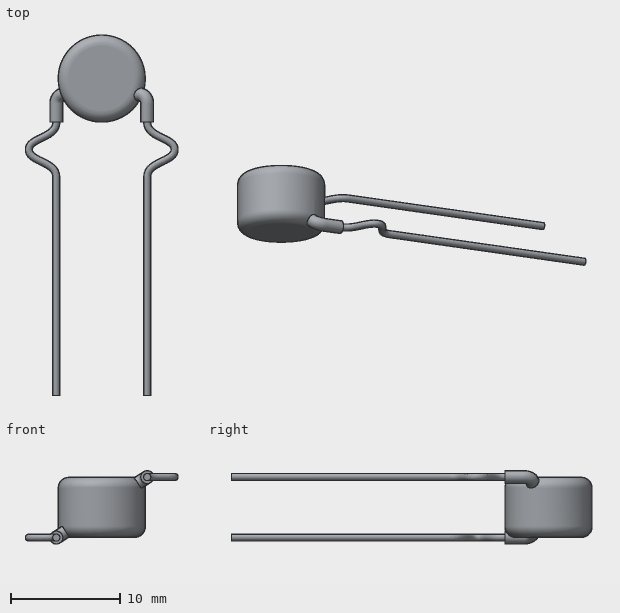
import cadquery as cq
import math

housing_diameter = 8.0
housing_height = 5.5
housing_edge_radius = 1.0

overall_length = 33.0
overall_width = 14.0
overall_height = 6.73
wire_diameter = 0.65
wire_x = 4.15
kink_half_length = 2.5
kink_end_handle = 1.45
kink_peak_handle = 1.12

sleeve_diameter = 1.2
sleeve_straight_length = 1.7
sleeve_bend_radius = 0.82
sleeve_dip_angle = 33.0
sleeve_root_length = 1.0

wire_z = (overall_height - sleeve_diameter) / 2
kink_x = (overall_width - wire_diameter) / 2
sleeve_end_y = -housing_diameter / 2
bend_start_y = sleeve_end_y + sleeve_straight_length
kink_peak_y = sleeve_end_y - kink_half_length
kink_end_y = kink_peak_y - kink_half_length
wire_end_y = housing_diameter / 2 - overall_length


def opposite(shape):
    """Turn a shape half way round the Y axis, to the other wire's place."""
    return shape.rotate((0, 0, 0), (0, 1, 0), 180)


def make_sleeve():
    """Coated run: straight along Y, then a right-angle bend down into the housing rim."""
    dip = math.radians(sleeve_dip_angle)
    inward = cq.Vector(-math.cos(dip), 0, -math.sin(dip))
    along = cq.Vector(0, 1, 0)
    start = cq.Vector(wire_x, sleeve_end_y, wire_z)
    bend_start = cq.Vector(wire_x, bend_start_y, wire_z)
    bend_centre = bend_start + inward * sleeve_bend_radius
    bend_middle = bend_centre + (along - inward) * (sleeve_bend_radius / math.sqrt(2))
    bend_end = bend_centre + along * sleeve_bend_radius
    root = bend_end + inward * sleeve_root_length
    path = cq.Workplane(
        cq.Wire.assembleEdges(
            [
                cq.Edge.makeLine(start, bend_start),
                cq.Edge.makeThreePointArc(bend_start, bend_middle, bend_end),
                cq.Edge.makeLine(bend_end, root),
            ]
        )
    )
    section = cq.Workplane(cq.Plane(start, xDir=(1, 0, 0), normal=(0, 1, 0)))
    return section.circle(sleeve_diameter / 2).sweep(path)


def make_lead():
    """Round wire: seated in the sleeve, kinked outward, then straight to its free end."""
    kink_points = [
        (wire_x, sleeve_end_y),
        (wire_x, sleeve_end_y - kink_end_handle),
        (kink_x, kink_peak_y + kink_peak_handle),
        (kink_x, kink_peak_y),
        (kink_x, kink_peak_y - kink_peak_handle),
        (wire_x, kink_end_y + kink_end_handle),
        (wire_x, kink_end_y),
    ]
    path = (
        cq.Workplane("XY", origin=(0, 0, wire_z))
        .moveTo(wire_x, bend_start_y)
        .lineTo(wire_x, sleeve_end_y)
        .bezier(kink_points[:4])
        .bezier(kink_points[3:])
        .lineTo(wire_x, wire_end_y)
    )
    start = (wire_x, bend_start_y, wire_z)
    section = cq.Workplane(cq.Plane(start, xDir=(1, 0, 0), normal=(0, -1, 0)))
    return section.circle(wire_diameter / 2).sweep(path)


def make_wire_socket():
    """Material removed from a sleeve to seat the wire along the straight run."""
    mouth = cq.Workplane(cq.Plane((wire_x, sleeve_end_y, wire_z), xDir=(1, 0, 0), normal=(0, 1, 0)))
    return mouth.circle(wire_diameter / 2).extrude(sleeve_straight_length)


def make_housing():
    """Disc with rounded rims, its two coating sleeves, and a wire socket in each sleeve."""
    base = cq.Workplane("XY", origin=(0, 0, -housing_height / 2))
    disc = base.circle(housing_diameter / 2).extrude(housing_height)
    disc = disc.edges("%CIRCLE").fillet(housing_edge_radius)
    sleeve = make_sleeve()
    socket = make_wire_socket()
    coated = disc.union(sleeve).union(opposite(sleeve))
    return coated.cut(socket).cut(opposite(socket))


housing = make_housing()
upper_lead = make_lead()
leads = [upper_lead, opposite(upper_lead)]

result = cq.Compound.makeCompound([housing.val(), *[lead.val() for lead in leads]])